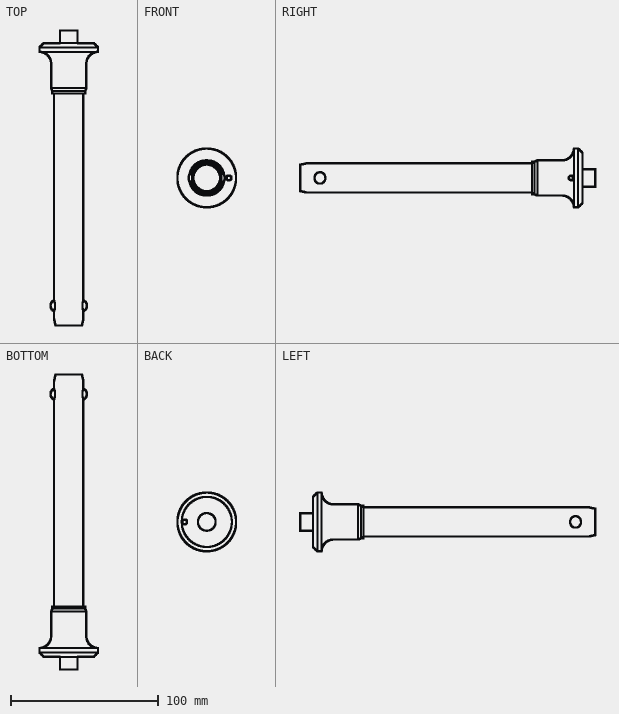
import cadquery as cq

overall_length = 200.0
nose_y = -overall_length / 2
button_y = overall_length / 2

shank_radius = 10.0
nose_length = 4.5
nose_radius = 9.0

collar_radius = 12.0
collar_length = 20.2
collar_lip_radius = 11.2
collar_taper_length = 2.0
collar_lip_length = 1.6

flange_radius = 20.0
flange_thickness = 3.0
crown_radius = 17.0
crown_height = 3.0

button_radius = 6.0
button_length = 8.6

ball_radius = 4.0
ball_reach = 12.5
ball_from_nose = 13.5

lanyard_hole_diameter = 3.2
lanyard_hole_x = 15.0

crown_y = button_y - button_length
flange_back_y = crown_y - crown_height
flange_front_y = flange_back_y - flange_thickness
flare_radius = flange_radius - collar_radius
flare_end_y = flange_front_y - flare_radius
collar_front_y = flare_end_y - collar_length
collar_lip_y = collar_front_y + collar_lip_length
collar_taper_y = collar_lip_y + collar_taper_length
nose_start_y = nose_y + nose_length

flare_middle = (
    flange_radius - flare_radius * 0.5 ** 0.5,
    flare_end_y + flare_radius * 0.5 ** 0.5,
)


def make_body():
    """Revolve the half profile of shank, collar, flared head and button."""
    profile = (
        cq.Workplane("XY")
        .moveTo(0, nose_y)
        .lineTo(nose_radius, nose_y)
        .lineTo(shank_radius, nose_start_y)
        .lineTo(shank_radius, collar_front_y)
        .lineTo(collar_lip_radius, collar_front_y)
        .lineTo(collar_lip_radius, collar_lip_y)
        .lineTo(collar_radius, collar_taper_y)
        .lineTo(collar_radius, flare_end_y)
        .threePointArc(flare_middle, (flange_radius, flange_front_y))
        .lineTo(flange_radius, flange_back_y)
        .lineTo(crown_radius, crown_y)
        .lineTo(button_radius, crown_y)
        .lineTo(button_radius, button_y)
        .lineTo(0, button_y)
        .close()
    )
    return profile.revolve(360, (0, 0, 0), (0, 1, 0))


def make_ball(side):
    """Locking ball protruding from the shank on the +X (side=1) or -X (side=-1) flank."""
    ball_x = side * (ball_reach - ball_radius)
    return cq.Workplane("XY").sphere(ball_radius).translate((ball_x, nose_y + ball_from_nose, 0))


def make_lanyard_hole():
    """Cutter for the hole through the head, parallel to the pin axis."""
    return (
        cq.Workplane("XZ", origin=(lanyard_hole_x, crown_y, 0))
        .circle(lanyard_hole_diameter / 2)
        .extrude(crown_y - flare_end_y)
    )


result = make_body()
for side in (-1, 1):
    result = result.union(make_ball(side))
result = result.cut(make_lanyard_hole())